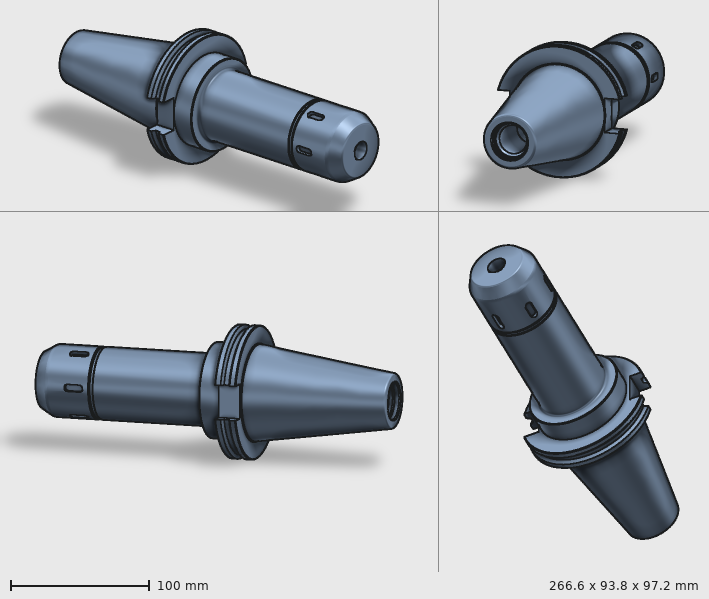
import cadquery as cq
import math


GAUGE_DIA = 69.85
TAPER_RATIO = 7 / 24
TAIL_LENGTH = 101.62
TAPER_LARGE_DIA = 70.2
TAIL_FILLET = 2.0

ROOT_FILLET = 0.7

FLANGE_DIA = 97.15
FLANGE_FRONT_X = 3.2
FLANGE_REAR_X = 19.1
FLANGE_CHAMFER = 0.6
GROOVE_DIA = 91.3
GROOVE_CENTRE_X = 11.1
GROOVE_FLOOR_WIDTH = 3.65
GROOVE_FLANK_ANGLE = 30

DRIVE_SLOT_WIDTH = 25.3
DRIVE_SLOT_FLOOR_PLUS_Y = 37.7
DRIVE_SLOT_FLOOR_MINUS_Y = 35.0

COLLAR_DIA = GAUGE_DIA
COLLAR_END_X = 35.3
COLLAR_CHAMFER = 0.6
STEM_DIA = 53.0
STEM_END_X = 119.4
STEM_FILLET = 2.5

NECK_DIA = 52.0
NECK_LENGTH = 2.0
SPIGOT_DIA = 39.7

ENTRY_DIA = 28.6
COUNTERBORE_DIA = 26.7
COUNTERBORE_DEPTH = 4.2
PILOT_DIA = 25.0
PILOT_DEPTH = 5.6
PILOT_CONE_ANGLE = 90
THREAD_DIA = 21.0
THREAD_DEPTH = 45.0
THROUGH_DIA = 13.84
DRILL_POINT_ANGLE = 118

NUT_END_X = 165.0
NUT_LIP_LENGTH = 0.8
NUT_CONE_LENGTH = 10.3
NUT_NOSE_DIA = 41.2
NUT_CONE_FILLET = 5.4
NUT_NOSE_FILLET = 2.0

SPANNER_SLOT_COUNT = 6
SPANNER_SLOT_LENGTH = 14.0
SPANNER_SLOT_WIDTH = 5.2
SPANNER_SLOT_CENTRE_X = 133.8
SPANNER_FLOOR_DIA = 46.7

TAIL_X = -TAIL_LENGTH
TAIL_DIA = GAUGE_DIA - TAIL_LENGTH * TAPER_RATIO
NUT_START_X = STEM_END_X + NECK_LENGTH
EDGE_CHAMFER = (STEM_DIA - NECK_DIA) / 2
SPIGOT_END_X = NUT_END_X - NUT_CONE_LENGTH


def revolve_about_x(points):
    """Turn a closed outline of (x, radius) points about the X axis."""
    return cq.Workplane("XY").polyline(points).close().revolve(360, (0, 0, 0), (1, 0, 0))


def cylinder_x(start_x, end_x, diameter):
    return cq.Workplane("YZ", origin=(start_x, 0, 0)).circle(diameter / 2).extrude(end_x - start_x)


def taper_shank():
    taper_end_x = (TAPER_LARGE_DIA - GAUGE_DIA) / TAPER_RATIO
    radius = TAPER_LARGE_DIA / 2
    shank = (
        cq.Workplane("XY")
        .moveTo(TAIL_X, 0)
        .lineTo(TAIL_X, TAIL_DIA / 2)
        .lineTo(taper_end_x, radius)
        .lineTo(FLANGE_FRONT_X - ROOT_FILLET, radius)
        .radiusArc((FLANGE_FRONT_X, radius + ROOT_FILLET), ROOT_FILLET)
        .lineTo(FLANGE_FRONT_X, 0)
        .close()
        .revolve(360, (0, 0, 0), (1, 0, 0))
    )
    return shank.faces("<X").edges().fillet(TAIL_FILLET)


def flange():
    disc = cylinder_x(FLANGE_FRONT_X, FLANGE_REAR_X, FLANGE_DIA).edges().chamfer(FLANGE_CHAMFER)
    floor_half = GROOVE_FLOOR_WIDTH / 2
    flank_run = (FLANGE_DIA - GROOVE_DIA) / 2 * math.tan(math.radians(GROOVE_FLANK_ANGLE))
    mouth_half = floor_half + flank_run
    groove = revolve_about_x([
        (GROOVE_CENTRE_X - floor_half, GROOVE_DIA / 2),
        (GROOVE_CENTRE_X - mouth_half, FLANGE_DIA / 2),
        (GROOVE_CENTRE_X + mouth_half, FLANGE_DIA / 2),
        (GROOVE_CENTRE_X + floor_half, GROOVE_DIA / 2),
    ])
    disc = disc.cut(groove)
    disc = disc.cut(drive_slot(1, DRIVE_SLOT_FLOOR_PLUS_Y))
    return disc.cut(drive_slot(-1, DRIVE_SLOT_FLOOR_MINUS_Y))


def drive_slot(side, floor_y):
    """Cutter for the drive slot on the +Y (side 1) or -Y (side -1) edge of the flange."""
    flange_width = FLANGE_REAR_X - FLANGE_FRONT_X
    centre_x = (FLANGE_FRONT_X + FLANGE_REAR_X) / 2
    centre_y = side * (floor_y + FLANGE_DIA / 2)
    block = cq.Workplane("XY").box(flange_width, FLANGE_DIA, DRIVE_SLOT_WIDTH)
    return block.translate((centre_x, centre_y, 0))


def collar_and_stem():
    collar = cylinder_x(FLANGE_FRONT_X, COLLAR_END_X, COLLAR_DIA).faces(">X").edges().chamfer(COLLAR_CHAMFER)
    stem = cylinder_x(COLLAR_END_X, STEM_END_X, STEM_DIA).faces(">X").edges().chamfer(EDGE_CHAMFER)
    stem_radius = STEM_DIA / 2
    fillet_ring = (
        cq.Workplane("XY")
        .moveTo(COLLAR_END_X, stem_radius)
        .lineTo(COLLAR_END_X, stem_radius + STEM_FILLET)
        .radiusArc((COLLAR_END_X + STEM_FILLET, stem_radius), -STEM_FILLET)
        .close()
        .revolve(360, (0, 0, 0), (1, 0, 0))
    )
    return collar.union(stem).union(fillet_ring)


def bore():
    """Cutter for the stepped bore, from the tail to the nose."""
    thread_end_x = TAIL_X + THREAD_DEPTH
    entry_chamfer = (ENTRY_DIA - COUNTERBORE_DIA) / 2
    pilot_end_x = TAIL_X + PILOT_DEPTH
    cone_run = (PILOT_DIA - THREAD_DIA) / 2 / math.tan(math.radians(PILOT_CONE_ANGLE / 2))
    point_run = (THREAD_DIA - THROUGH_DIA) / 2 / math.tan(math.radians(DRILL_POINT_ANGLE / 2))
    return revolve_about_x([
        (TAIL_X, 0),
        (TAIL_X, ENTRY_DIA / 2),
        (TAIL_X + entry_chamfer, COUNTERBORE_DIA / 2),
        (TAIL_X + COUNTERBORE_DEPTH, COUNTERBORE_DIA / 2),
        (TAIL_X + COUNTERBORE_DEPTH, PILOT_DIA / 2),
        (pilot_end_x, PILOT_DIA / 2),
        (pilot_end_x + cone_run, THREAD_DIA / 2),
        (thread_end_x, THREAD_DIA / 2),
        (thread_end_x + point_run, THROUGH_DIA / 2),
        (NUT_END_X, THROUGH_DIA / 2),
        (NUT_END_X, 0),
    ])


def make_holder():
    neck = cylinder_x(STEM_END_X, NUT_START_X, NECK_DIA)
    spigot = cylinder_x(NUT_START_X, SPIGOT_END_X, SPIGOT_DIA)
    solid = taper_shank().union(flange()).union(collar_and_stem()).union(neck).union(spigot)
    return solid.cut(bore())


def spanner_slot(angle):
    """Cutter for one flat-bottomed spanner slot, at an angle about X from -Y."""
    return (
        cq.Workplane("XZ", origin=(SPANNER_SLOT_CENTRE_X, -SPANNER_FLOOR_DIA / 2, 0))
        .slot2D(SPANNER_SLOT_LENGTH, SPANNER_SLOT_WIDTH)
        .extrude(STEM_DIA / 2)
        .rotate((0, 0, 0), (1, 0, 0), angle)
    )


def make_nut():
    radius = STEM_DIA / 2
    lip_end_x = NUT_START_X + NUT_LIP_LENGTH
    nut = revolve_about_x([
        (NUT_START_X, 0),
        (NUT_START_X, NECK_DIA / 2),
        (lip_end_x, NECK_DIA / 2),
        (lip_end_x + EDGE_CHAMFER, radius),
        (SPIGOT_END_X, radius),
        (NUT_END_X, NUT_NOSE_DIA / 2),
        (NUT_END_X, 0),
    ])
    cone_edge = cq.selectors.NearestToPointSelector((SPIGOT_END_X, 0, 0))
    nut = nut.edges("%CIRCLE").edges(cone_edge).fillet(NUT_CONE_FILLET)
    nut = nut.faces(">X").edges().fillet(NUT_NOSE_FILLET)
    for index in range(SPANNER_SLOT_COUNT):
        nut = nut.cut(spanner_slot(index * 360 / SPANNER_SLOT_COUNT))
    return nut.cut(cylinder_x(NUT_START_X, SPIGOT_END_X, SPIGOT_DIA)).cut(bore())


holder = make_holder()
nut = make_nut()
result = cq.Compound.makeCompound([holder.val(), nut.val()])